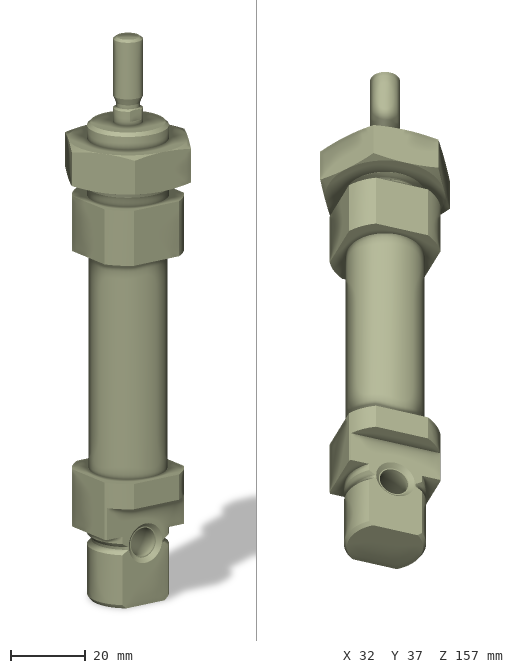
import cadquery as cq
import math

total_height = 157.0

cap_width = 26.0
cap_corner_diameter = 30.0
tube_diameter = 21.0
front_cap_bottom = 97.3
front_cap_top = 112.7
rear_cap_bottom = 20.3
rear_cap_top = 36.3

neck_diameter = 22.0
neck_top = 133.1
neck_chamfer = 1.0
relief_diameter = 19.6
relief_center = 116.3
relief_width = 2.4
relief_floor = 0.5

eye_thickness = 16.0
eye_shoulder = 29.2
eye_diameter = 22.0
eye_chamfer = 0.8
eye_chamfer_height = 1.1
pivot_height = 17.1
pivot_diameter = 8.0
pivot_rim_diameter = 11.0
pivot_seat_diameter = 8.6
pivot_countersink_depth = (pivot_rim_diameter - pivot_seat_diameter) / 2
eye_groove_diameter = 19.6
eye_groove_center = 16.6
eye_groove_width = 3.1
eye_groove_floor = 0.8

rod_diameter = 8.0
rod_tip_diameter = 6.5
rod_tip_chamfer_height = 0.6
rod_neck_diameter = 6.5
rod_thread_bottom = 140.5
rod_neck_top = 138.6
rod_neck_bottom = 137.5
rod_shoulder = 137.0
rod_flat_width = 7.0
rod_flat_bottom = 134.2
rod_bottom = front_cap_bottom

nut_sides = 6
nut_width = 32.0
nut_bottom = 117.6
nut_height = 11.0
nut_corner_drop = 0.8
nut_corner_diameter = nut_width / math.cos(math.pi / nut_sides)


def cylinder(diameter, bottom, top):
    return cq.Workplane("XY").workplane(offset=bottom).circle(diameter / 2).extrude(top - bottom)


def block(x_size, y_size, bottom, top):
    return cq.Workplane("XY").workplane(offset=bottom).rect(x_size, y_size).extrude(top - bottom)


def turned(profile):
    """Revolve an outline of (radius, height) points about Z."""
    return cq.Workplane("XZ").polyline(profile).close().revolve(360, (0, 0), (0, 1))


def make_cap(bottom, top):
    square = block(cap_width, cap_width, bottom, top)
    return square.intersect(cylinder(cap_corner_diameter, bottom, top))


def make_neck():
    neck_radius = neck_diameter / 2
    relief_radius = relief_diameter / 2
    return turned([
        (0, front_cap_top),
        (neck_radius, front_cap_top),
        (neck_radius, relief_center - relief_width / 2),
        (relief_radius, relief_center - relief_floor / 2),
        (relief_radius, relief_center + relief_floor / 2),
        (neck_radius, relief_center + relief_width / 2),
        (neck_radius, neck_top - neck_chamfer),
        (neck_radius - neck_chamfer, neck_top),
        (0, neck_top),
    ])


def make_eye():
    radius = eye_diameter / 2
    groove_radius = eye_groove_diameter / 2
    return turned([
        (0, 0),
        (radius - eye_chamfer, 0),
        (radius, eye_chamfer_height),
        (radius, eye_groove_center - eye_groove_width / 2),
        (groove_radius, eye_groove_center - eye_groove_floor / 2),
        (groove_radius, eye_groove_center + eye_groove_floor / 2),
        (radius, eye_groove_center + eye_groove_width / 2),
        (radius, rear_cap_bottom),
        (0, rear_cap_bottom),
    ])


def make_pivot_hole():
    """Cross hole along X with a countersink on each side of the eye."""
    face = eye_thickness / 2
    radius = pivot_diameter / 2
    rim_radius = pivot_rim_diameter / 2
    seat_radius = pivot_seat_diameter / 2
    hole = cq.Workplane("XY").polyline([
        (-face, 0),
        (-face, rim_radius),
        (-face + pivot_countersink_depth, seat_radius),
        (-face + pivot_countersink_depth, radius),
        (face - pivot_countersink_depth, radius),
        (face - pivot_countersink_depth, seat_radius),
        (face, rim_radius),
        (face, 0),
    ]).close().revolve(360, (0, 0), (1, 0))
    return hole.translate((0, 0, pivot_height))


def make_housing():
    rear = make_cap(rear_cap_bottom, rear_cap_top).union(make_eye())
    eye_slab = block(eye_thickness, cap_width, 0, eye_shoulder)
    upper_slab = block(cap_width, cap_width, eye_shoulder, rear_cap_top)
    rear = rear.intersect(eye_slab.union(upper_slab)).cut(make_pivot_hole())
    housing = rear.union(cylinder(tube_diameter, rear_cap_top, front_cap_bottom))
    housing = housing.union(make_cap(front_cap_bottom, front_cap_top)).union(make_neck())
    return housing.cut(cylinder(rod_diameter, rod_bottom, neck_top))


def make_rod():
    radius = rod_diameter / 2
    neck_radius = rod_neck_diameter / 2
    rod = turned([
        (0, rod_bottom),
        (radius, rod_bottom),
        (radius, rod_shoulder),
        (neck_radius, rod_neck_bottom),
        (neck_radius, rod_neck_top),
        (radius, rod_thread_bottom),
        (radius, total_height - rod_tip_chamfer_height),
        (rod_tip_diameter / 2, total_height),
        (0, total_height),
    ])
    flat_zone = block(rod_diameter, rod_diameter, rod_flat_bottom, rod_neck_bottom)
    kept = block(rod_flat_width, rod_diameter, rod_flat_bottom, rod_neck_bottom)
    return rod.cut(flat_zone.cut(kept))


def make_nut():
    flat_radius = nut_width / 2
    corner_radius = nut_corner_diameter / 2
    nut_top = nut_bottom + nut_height
    hexagon = (
        cq.Workplane("XY").workplane(offset=nut_bottom)
        .polygon(nut_sides, nut_corner_diameter).extrude(nut_height)
        .rotate((0, 0, 0), (0, 0, 1), 180 / nut_sides)
    )
    chamfer_envelope = turned([
        (0, nut_bottom),
        (flat_radius, nut_bottom),
        (corner_radius, nut_bottom + nut_corner_drop),
        (corner_radius, nut_top - nut_corner_drop),
        (flat_radius, nut_top),
        (0, nut_top),
    ])
    return hexagon.intersect(chamfer_envelope).cut(cylinder(neck_diameter, nut_bottom, nut_top))


housing = make_housing()
piston_rod = make_rod()
nut = make_nut()

result = cq.Compound.makeCompound([housing.val(), piston_rod.val(), nut.val()])